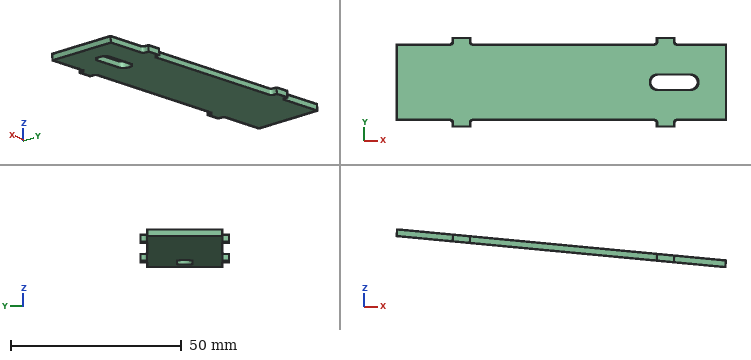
import cadquery as cq
import math

overall_length = 96.4
plate_width = 22.0
thickness = 2.0
tilt_angle = 5.4
tilt = math.radians(tilt_angle)
plate_length = (overall_length - thickness * math.sin(tilt)) / math.cos(tilt)

width_over_tabs = 26.0
tab_length = 5.0
tab_root_radius = 1.0
tab_distances = (19.0, 79.0)

slot_length = 14.2
slot_width = 4.4
slot_distance = 81.5


def along_plate(distance):
    """Turn a distance from the -X end into a position from the plate centre."""
    return distance - plate_length / 2


def block(length, width):
    return cq.Workplane("XY").box(length, width, thickness)


plate = block(plate_length, plate_width)
for distance in tab_distances:
    crossbar = block(tab_length, width_over_tabs)
    plate = plate.union(crossbar.translate((along_plate(distance), 0, 0)))

corner_points = [
    (along_plate(distance) + end * tab_length / 2, side * plate_width / 2, 0)
    for distance in tab_distances
    for end in (-1, 1)
    for side in (-1, 1)
]
for point in corner_points:
    corner = plate.edges("|Z").edges(cq.selectors.NearestToPointSelector(point))
    plate = corner.fillet(tab_root_radius)

slot = (
    cq.Workplane("XY")
    .center(along_plate(slot_distance), 0)
    .slot2D(slot_length, slot_width)
    .extrude(thickness, both=True)
)
plate = plate.cut(slot)

result = plate.rotate((0, 0, 0), (0, 1, 0), tilt_angle)